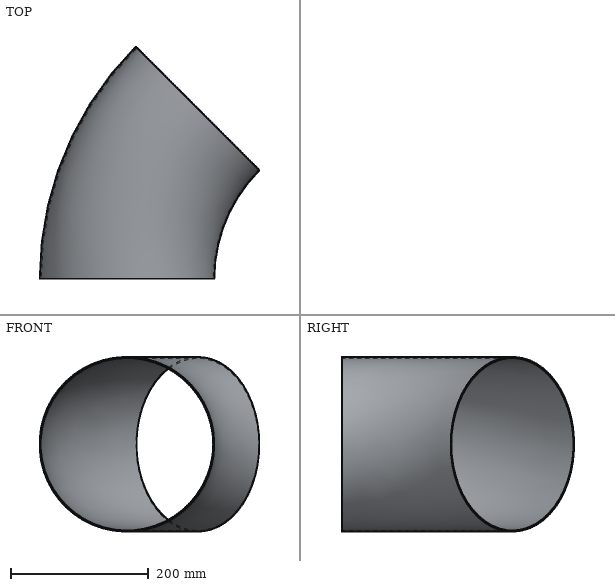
import cadquery as cq

outer_diameter = 254.0
wall_thickness = 2.0
bend_radius = 350.0
bend_angle = 45.0

outer_radius = outer_diameter / 2
inner_radius = outer_radius - wall_thickness


def pipe_elbow():
    """Annular pipe section in the XZ plane, swept about a bend axis parallel to Z."""
    section = cq.Workplane("XZ").circle(outer_radius).circle(inner_radius)
    axis_start = (bend_radius, 1)
    axis_end = (bend_radius, 0)
    return section.revolve(bend_angle, axis_start, axis_end)


result = pipe_elbow()